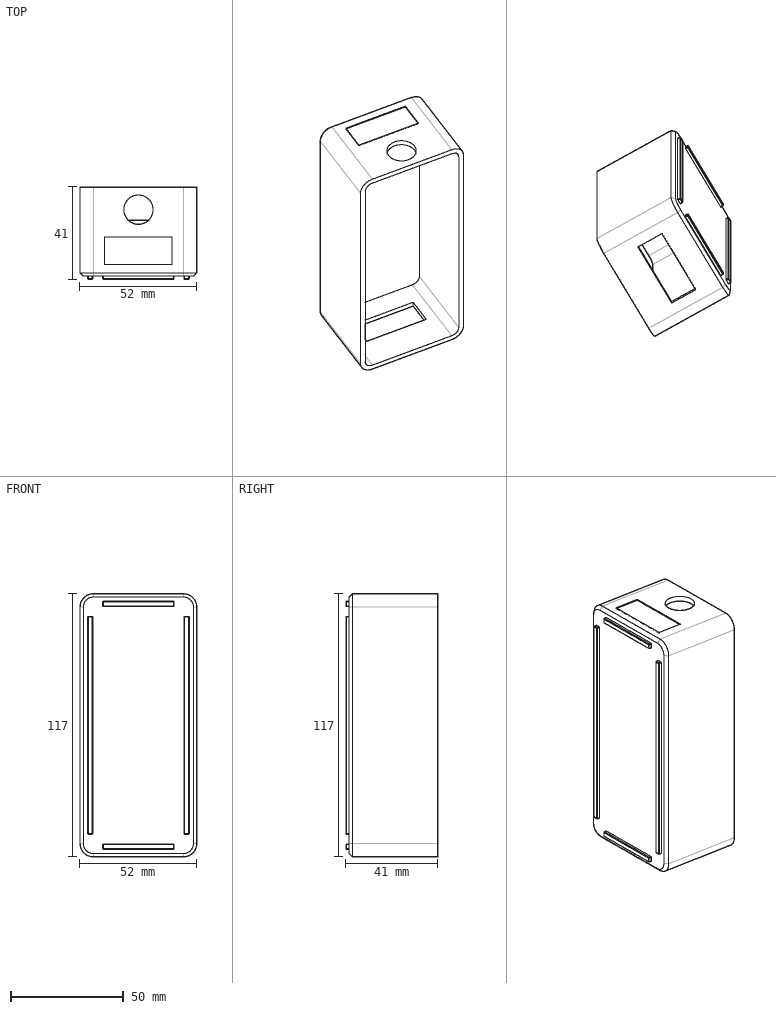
import cadquery as cq

width = 52.0
depth = 41.0
height = 117.0

rib_height = 1.4
body_depth = depth - rib_height
corner_radius = 6.0
front_chamfer = 1.5
wall = 2.5

rib_width = 2.5
rib_edge_offset = 4.6
rib_end_offset = 10.1
rib_chamfer = 0.4

hole_diameter = 13.0
hole_from_back = 10.0

recess_width = 30.0
recess_length = 12.3
recess_depth = 0.5
recess_from_back = 22.1

window_from_back = 14.7

back_y = depth / 2
front_y = back_y - body_depth
top_z = height / 2
bottom_z = -height / 2


def make_shell():
    """Rounded box with a chamfered front rim, hollowed out from the back."""
    outer = (
        cq.Workplane("XZ", origin=(0, back_y, 0))
        .rect(width, height)
        .extrude(body_depth)
        .edges("|Y")
        .fillet(corner_radius)
        .faces("<Y")
        .chamfer(front_chamfer)
    )
    cavity = (
        cq.Workplane("XZ", origin=(0, back_y, 0))
        .rect(width - 2 * wall, height - 2 * wall)
        .extrude(body_depth - wall)
        .edges("|Y")
        .fillet(corner_radius - wall)
    )
    return outer.cut(cavity)


def make_rib(x, z, size_x, size_z):
    """Straight rib on the front face with its corner and outward edges chamfered."""
    return (
        cq.Workplane("XZ", origin=(x, front_y, z))
        .rect(size_x, size_z)
        .extrude(rib_height)
        .edges("|Y or <Y")
        .chamfer(rib_chamfer)
    )


def block_from_back(from_back, floor_z, block_height):
    """Recess-sized cutting block that starts a given distance from the back."""
    centre_y = back_y - from_back - recess_length / 2
    return (
        cq.Workplane("XY", origin=(0, centre_y, floor_z))
        .rect(recess_width, recess_length)
        .extrude(block_height)
    )


result = make_shell()

for side in (-1, 1):
    side_x = side * (width / 2 - rib_edge_offset)
    end_z = side * (height / 2 - rib_edge_offset)
    result = result.union(make_rib(side_x, 0, rib_width, height - 2 * rib_end_offset))
    result = result.union(make_rib(0, end_z, width - 2 * rib_end_offset, rib_width))

hole = (
    cq.Workplane("XY", origin=(0, back_y - hole_from_back, top_z - wall))
    .circle(hole_diameter / 2)
    .extrude(wall)
)
result = result.cut(hole)

result = result.cut(block_from_back(recess_from_back, top_z - recess_depth, recess_depth))
result = result.cut(block_from_back(window_from_back, bottom_z, wall))